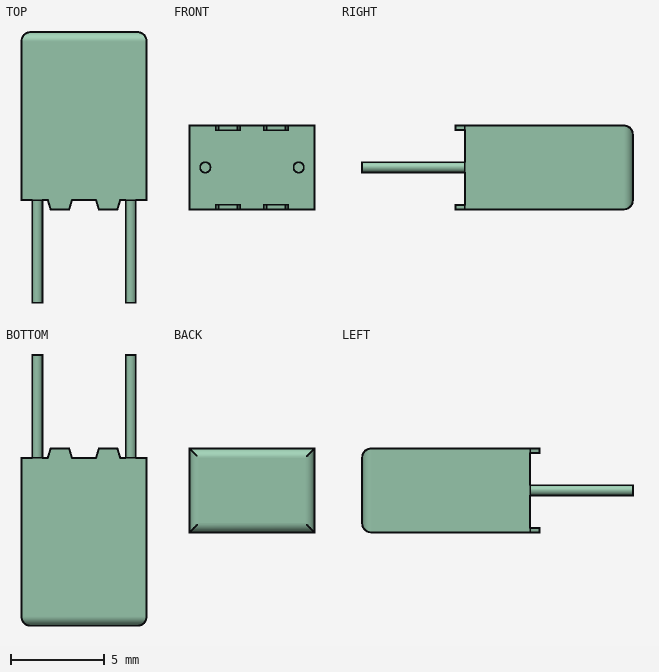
import cadquery as cq

CASE_WIDTH = 6.7
CASE_LENGTH = 9.0
CASE_HEIGHT = 4.5
END_FILLET = 0.5

FOOT_LENGTH = 0.5
FOOT_THICKNESS = 0.25
FOOT_ROOT_WIDTH = 1.3
FOOT_TIP_WIDTH = 1.0
FOOT_SPACING = 2.58

LEAD_DIAMETER = 0.56
LEAD_SPACING = 5.0
LEAD_LENGTH = 5.5


def make_foot(center_x, bottom_z):
    """Tapered tab that stands out from the lead side toward -Y."""
    half_root = FOOT_ROOT_WIDTH / 2
    half_tip = FOOT_TIP_WIDTH / 2
    return (
        cq.Workplane("XY", origin=(center_x, 0, bottom_z))
        .moveTo(-half_root, 0)
        .lineTo(-half_tip, -FOOT_LENGTH)
        .lineTo(half_tip, -FOOT_LENGTH)
        .lineTo(half_root, 0)
        .close()
        .extrude(FOOT_THICKNESS)
    )


def make_case():
    """Box with a rounded end and four stand-off feet."""
    case = (
        cq.Workplane("XY")
        .box(CASE_WIDTH, CASE_LENGTH, CASE_HEIGHT, centered=(True, False, True))
        .faces(">Y")
        .edges()
        .fillet(END_FILLET)
    )
    lower_foot_z = -CASE_HEIGHT / 2
    upper_foot_z = CASE_HEIGHT / 2 - FOOT_THICKNESS
    for center_x in (-FOOT_SPACING / 2, FOOT_SPACING / 2):
        for bottom_z in (lower_foot_z, upper_foot_z):
            case = case.union(make_foot(center_x, bottom_z))
    return case


def make_lead(center_x):
    """Straight wire that starts on the lead side and runs toward -Y."""
    return (
        cq.Workplane("XZ", origin=(center_x, 0, 0))
        .circle(LEAD_DIAMETER / 2)
        .extrude(LEAD_LENGTH)
    )


case = make_case()
leads = [make_lead(center_x) for center_x in (-LEAD_SPACING / 2, LEAD_SPACING / 2)]

result = cq.Compound.makeCompound([case.val(), *[lead.val() for lead in leads]])